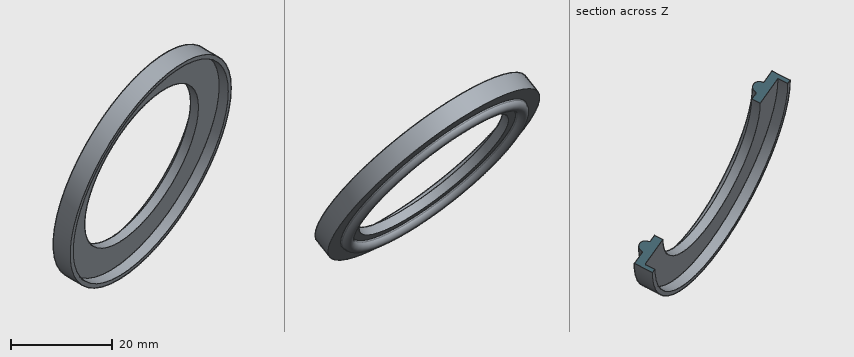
import cadquery as cq

outer_diameter = 52.5
bore_diameter = 37.0
total_width = 5.8
bead_height = 1.5
ring_width = total_width - bead_height

web_thickness = 2.0
recess_diameter = 50.5

bead_mean_radius = 21.7
bead_base_width = 2.9
crown_width = 2.7
flank_height = 0.3

face_x = bead_height - total_width / 2


def make_ring():
    ring = (
        cq.Workplane("YZ", origin=(face_x, 0, 0))
        .circle(outer_diameter / 2)
        .circle(bore_diameter / 2)
        .extrude(ring_width)
    )
    recess = (
        cq.Workplane("YZ", origin=(face_x + web_thickness, 0, 0))
        .circle(recess_diameter / 2)
        .extrude(ring_width - web_thickness)
    )
    return ring.cut(recess)


def make_bead():
    shoulder_x = face_x - flank_height
    crown_x = face_x - bead_height
    root_x = face_x + web_thickness / 2
    base_inner = bead_mean_radius - bead_base_width / 2
    base_outer = bead_mean_radius + bead_base_width / 2
    crown_inner = bead_mean_radius - crown_width / 2
    crown_outer = bead_mean_radius + crown_width / 2
    return (
        cq.Workplane("XY")
        .moveTo(root_x, base_inner)
        .lineTo(face_x, base_inner)
        .lineTo(shoulder_x, crown_inner)
        .threePointArc((crown_x, bead_mean_radius), (shoulder_x, crown_outer))
        .lineTo(face_x, base_outer)
        .lineTo(root_x, base_outer)
        .close()
        .revolve(360, (0, 0, 0), (1, 0, 0))
    )


result = make_ring().union(make_bead())